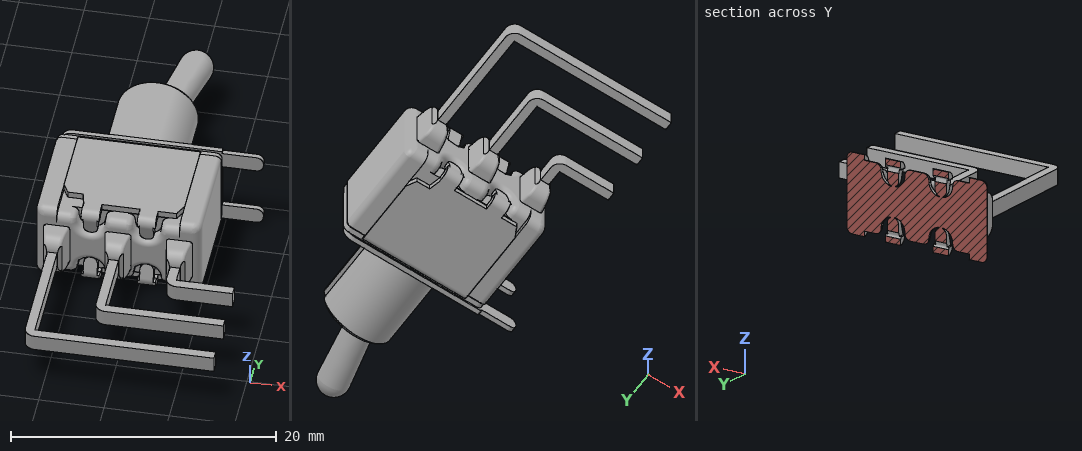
import cadquery as cq
import math


bracket_thickness = 0.43
bracket_left = -6.05
bracket_right = 6.3
bracket_half_height = 3.38
bracket_corner_radius = 0.85
leg_tip = 9.46
leg_inner = 1.88
leg_outer = 3.2
leg_tip_radius = 0.55

sheet = 0.5
frame_top = -bracket_thickness
frame_half_length = 6.3
frame_half_height = 3.2
frame_corner_radius = 0.5
cover_half_length = 4.7
cover_face = 3.37
cover_end = -8.1
cover_step = -7.16
cover_side_end = -6.33
cover_corner_cut = 0.45
cover_bend_radius = 0.475

case_half_length = 6.35
case_half_height = 3.31
case_top = frame_top - sheet
case_bottom = -9.3
case_side_radius = 0.5
case_bottom_radius = 0.75
core_half_height = cover_face - sheet

finger_spacing = 4.3
finger_xs = (-finger_spacing / 2, finger_spacing / 2)
finger_width = 1.4
finger_bend_radius = 0.7
finger_slope = math.radians(15)
tongue_width = 1.06
tongue_end = 1.22
pocket_radius = 1.05
pocket_centre = tongue_end + pocket_radius
pocket_depth = 1.15
pocket_rim_radius = 0.5

bushing_radius = 3.12
bushing_end = 7.1
bushing_chamfer = 0.25
keyway_width = 0.92
keyway_depth = 0.6
lever_tilt = math.radians(12.1)
lever_pivot = 4.1
overall_top = 14.01
lever_ball_radius = 1.34
lever_root_radius = 1.12

terminal_pitch = 4.7
terminal_thickness = 0.76
terminal_width = 1.32
terminal_tip = 9.53
terminal_bend_radius = 0.85
first_terminal_bottom = -20.93
terminal_row_step = 3.81
terminal_count = 3
post_half_width = 1.0
post_half_height = 1.8
post_crown_half_width = 0.67
post_tip_half_width = 0.42
post_tip_half_height = 0.66
post_shoulder = -10.0
crown_rise = 0.53
post_tip = -11.15
post_corner_radius = 0.25


def block(x0, x1, y0, y1, half_height):
    """Box between two X and two Y limits, symmetric about Z = 0."""
    return (
        cq.Workplane("XY")
        .box(x1 - x0, y1 - y0, 2 * half_height)
        .translate(((x0 + x1) / 2, (y0 + y1) / 2, 0))
    )


def both_sides(solid):
    """The solid together with its mirror image below Z = 0."""
    return solid.union(solid.mirror("XY"))


def make_bracket():
    """Flat plate around the bushing with two round-ended legs toward +X."""
    plate = block(bracket_left, bracket_right, -bracket_thickness, 0, bracket_half_height)
    plate = plate.edges("|Y and <X").fillet(bracket_corner_radius)
    leg = (
        cq.Workplane("XY")
        .box(leg_tip, bracket_thickness, leg_outer - leg_inner, centered=False)
        .translate((0, -bracket_thickness, leg_inner))
        .edges("|Y and >X")
        .fillet(leg_tip_radius)
    )
    hole = cq.Workplane("XZ").circle(bushing_radius).extrude(bracket_thickness)
    return plate.union(both_sides(leg)).cut(hole)


def make_case():
    """Rounded block whose middle is thinned to take the cover sheets, with the finger pockets."""
    shell = block(-case_half_length, case_half_length, case_bottom, case_top, case_half_height)
    shell = shell.edges("|Y").fillet(case_side_radius)
    shell = shell.faces("<Y").edges().fillet(case_bottom_radius)
    middle = block(-cover_half_length, cover_half_length, case_bottom, case_top, case_half_height)
    core = block(-cover_half_length, cover_half_length, case_bottom, case_top, core_half_height)
    core = core.edges("|X and <Y").fillet(case_bottom_radius)
    for x in finger_xs:
        core = core.cut(both_sides(make_pocket(x)))
    core = core.faces("<Y").edges("%CIRCLE").fillet(pocket_rim_radius)
    return shell.cut(middle).union(core)


def make_pocket(x):
    """U-shaped notch in the +Z edge of the case bottom."""
    return (
        cq.Workplane("XZ", origin=(x, case_bottom + pocket_depth, 0))
        .moveTo(-pocket_radius, case_half_height)
        .lineTo(-pocket_radius, pocket_centre)
        .threePointArc((0, pocket_centre - pocket_radius), (pocket_radius, pocket_centre))
        .lineTo(pocket_radius, case_half_height)
        .close()
        .extrude(pocket_depth)
    )


def make_cover():
    """Cover sheet on the +Z side, stepped at its lower left corner and cut at its lower right."""
    finger_left = finger_xs[0] - finger_width / 2
    foot = cover_half_length - cover_corner_cut
    return (
        cq.Workplane("XY", origin=(0, 0, core_half_height))
        .moveTo(-cover_half_length, frame_top)
        .lineTo(-cover_half_length, cover_side_end)
        .lineTo(-foot, cover_step)
        .lineTo(finger_left - cover_corner_cut / 2, cover_step)
        .lineTo(finger_left, cover_end)
        .lineTo(foot, cover_end)
        .lineTo(cover_half_length, cover_step)
        .lineTo(cover_half_length, frame_top)
        .close()
        .extrude(sheet)
        .edges("|X and >Y and >Z")
        .fillet(cover_bend_radius)
    )


def make_finger(x):
    """Strip that runs off the +Z cover, curls over the case edge and dives into its pocket."""
    bend_y = case_bottom + finger_bend_radius
    bend_z = cover_face - finger_bend_radius
    inner_radius = finger_bend_radius - sheet

    def bend_point(radius, turn):
        return bend_y - radius * math.sin(turn), bend_z + radius * math.cos(turn)

    last_turn = math.radians(90) + finger_slope
    outer_end = bend_point(finger_bend_radius, last_turn)
    inner_end = bend_point(inner_radius, last_turn)
    rise = math.tan(finger_slope)
    outer_tip = (outer_end[0] + (outer_end[1] - tongue_end) * rise, tongue_end)
    inner_tip = (inner_end[0] + (inner_end[1] - tongue_end) * rise, tongue_end)
    strip = (
        cq.Workplane("YZ", origin=(x - finger_width / 2, 0, 0))
        .moveTo(cover_end, cover_face)
        .lineTo(bend_y, cover_face)
        .threePointArc(bend_point(finger_bend_radius, last_turn / 2), outer_end)
        .lineTo(*outer_tip)
        .lineTo(*inner_tip)
        .lineTo(*inner_end)
        .threePointArc(bend_point(inner_radius, last_turn / 2), (bend_y, core_half_height))
        .lineTo(cover_end, core_half_height)
        .close()
        .extrude(finger_width)
    )
    tongue_centre = tongue_end + tongue_width / 2
    tongue = (
        cq.Workplane("XZ", origin=(x, 0, 0))
        .moveTo(-tongue_width / 2, bend_z)
        .lineTo(-tongue_width / 2, tongue_centre)
        .threePointArc((0, tongue_end), (tongue_width / 2, tongue_centre))
        .lineTo(tongue_width / 2, bend_z)
        .close()
        .extrude(-2 * case_bottom)
    )
    bend_zone = block(x - finger_width, x + finger_width, 2 * case_bottom, 0, case_half_height)
    bend_zone = bend_zone.translate((0, 0, bend_z + case_half_height))
    return strip.intersect(tongue.union(bend_zone))


def make_frame():
    """Flat plate over the case, with a cover sheet and two fingers on each side."""
    plate = block(-frame_half_length, frame_half_length, case_top, frame_top, frame_half_height)
    plate = plate.edges("|Y").fillet(frame_corner_radius)
    side = make_cover()
    for x in finger_xs:
        side = side.union(make_finger(x))
    return plate.union(both_sides(side))


def make_bushing():
    """Round bushing with a keyway along its -X side."""
    bushing = cq.Workplane("XZ", origin=(0, frame_top, 0)).circle(bushing_radius)
    bushing = bushing.extrude(frame_top - bushing_end)
    bushing = bushing.faces(">Y").chamfer(bushing_chamfer)
    keyway = block(-bushing_radius, keyway_depth - bushing_radius, 0, bushing_end, keyway_width / 2)
    return bushing.cut(keyway)


def make_lever():
    """Tapered bat with a round tip, tilted toward +X."""
    ball_centre = (overall_top - lever_ball_radius - lever_pivot) / math.cos(lever_tilt)
    ball_diagonal = lever_ball_radius * math.sqrt(0.5)
    lever = (
        cq.Workplane("XY")
        .moveTo(0, 0)
        .lineTo(lever_root_radius, 0)
        .lineTo(lever_ball_radius, ball_centre)
        .threePointArc(
            (ball_diagonal, ball_centre + ball_diagonal),
            (0, ball_centre + lever_ball_radius),
        )
        .close()
        .revolve(360, (0, 0, 0), (0, 1, 0))
    )
    lever = lever.rotate((0, 0, 0), (0, 0, 1), -math.degrees(lever_tilt))
    return lever.translate((0, lever_pivot, 0))


def make_post(x):
    """Tapering sealing post around one terminal."""
    taper_across = (
        cq.Workplane("XY", origin=(x, 0, -post_half_height))
        .moveTo(-post_half_width, case_bottom)
        .lineTo(-post_crown_half_width, post_tip)
        .lineTo(post_crown_half_width, post_tip)
        .lineTo(post_half_width, case_bottom)
        .close()
        .extrude(2 * post_half_height)
    )
    half_profile = (
        cq.Workplane("YZ", origin=(x - post_half_width, 0, 0))
        .moveTo(case_bottom, 0)
        .lineTo(case_bottom, post_half_height)
        .lineTo(post_shoulder, post_half_height)
        .tangentArcPoint((post_tip, post_tip_half_height), relative=False)
        .lineTo(post_tip, 0)
    )
    taper_along = half_profile.mirrorX().extrude(2 * post_half_width)
    post = taper_across.intersect(taper_along)
    post = post.faces("<X or >X").edges("not |Z").fillet(post_corner_radius)
    crown = block(x - post_half_width, x + post_half_width, post_tip, case_bottom, post_half_height)
    crown_run = post_half_width - post_tip_half_width
    crown = crown.edges("|Z and <Y").chamfer(crown_rise, crown_run)
    return post.intersect(crown)


def make_terminal(x, bottom):
    """Flat terminal that leaves its post along -Y and bends toward +X."""
    left = x - terminal_thickness / 2
    return (
        cq.Workplane("XY", origin=(0, 0, -terminal_width / 2))
        .moveTo(left, post_shoulder)
        .lineTo(left, bottom + terminal_bend_radius)
        .radiusArc((left + terminal_bend_radius, bottom), -terminal_bend_radius)
        .lineTo(terminal_tip, bottom)
        .lineTo(terminal_tip, bottom + terminal_thickness)
        .lineTo(left + terminal_thickness, bottom + terminal_thickness)
        .lineTo(left + terminal_thickness, post_shoulder)
        .close()
        .extrude(terminal_width)
    )


def make_switch():
    """Case, frame, bushing, lever, posts and terminals as one solid."""
    switch = make_case().union(make_frame()).union(make_bushing()).union(make_lever())
    for row in range(terminal_count):
        x = (row - (terminal_count - 1) / 2) * terminal_pitch
        bottom = first_terminal_bottom + row * terminal_row_step
        switch = switch.union(make_post(x)).union(make_terminal(x, bottom))
    return switch.solids()


switch = make_switch()
bracket = make_bracket()

result = cq.Compound.makeCompound([switch.val(), bracket.val()])